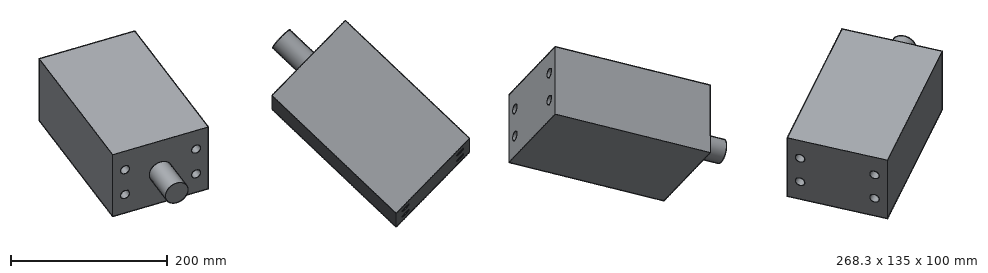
import cadquery as cq

total_length = 268.3
body_length = 220.0
body_width = 135.0
body_height = 100.0

stub_length = total_length - body_length
stub_diameter = 32.0

hole_diameter = 12.5
hole_spacing_y = 100.0
hole_spacing_z = 40.0


def make_body():
    """Rectangular block with its -X face on the YZ plane."""
    return cq.Workplane("YZ").rect(body_width, body_height).extrude(body_length)


def make_stub():
    """Cylinder standing on the centre of the +X face."""
    return (
        cq.Workplane("YZ", origin=(body_length, 0, 0))
        .circle(stub_diameter / 2)
        .extrude(stub_length)
    )


def make_holes():
    """Through holes at the corners of a rectangle centred on the block."""
    return (
        cq.Workplane("YZ")
        .rect(hole_spacing_y, hole_spacing_z, forConstruction=True)
        .vertices()
        .circle(hole_diameter / 2)
        .extrude(body_length)
    )


result = make_body().union(make_stub()).cut(make_holes())